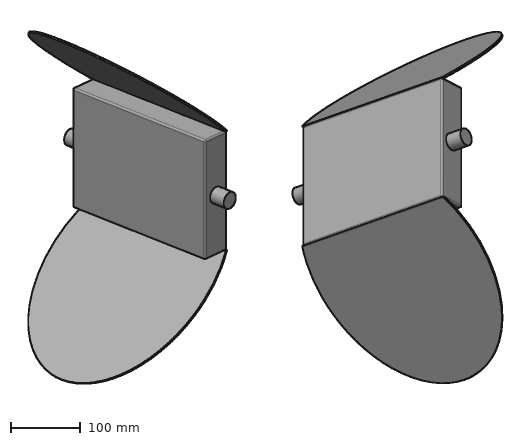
import cadquery as cq
import math

HOUSING_WIDTH = 258.0
HOUSING_DEPTH = 46.5
HOUSING_HEIGHT = 190.0
EDGE_RADIUS = 2.95

PIN_SPAN = 311.0
PIN_DIAMETER = 26.0
PIN_AXIS_DEPTH = 22.5

FLAP_TILT = 40.0
FLAP_THICKNESS = 3.0
FLAP_LENGTH = 272.0
FLAP_HALF_WIDTH = 145.0
HINGE_HALF_WIDTH = 130.0
HINGE_INSET = 0.7

hinge_fraction = math.sqrt(1 - (HINGE_HALF_WIDTH / FLAP_HALF_WIDTH) ** 2)
flap_semi_length = FLAP_LENGTH / (1 + hinge_fraction)
ellipse_centre = FLAP_LENGTH - flap_semi_length


def make_block():
    """Sharp-edged envelope of the housing."""
    return cq.Workplane("XY").box(HOUSING_WIDTH, HOUSING_DEPTH, HOUSING_HEIGHT).translate(
        (0, -HOUSING_DEPTH / 2, 0)
    )


def make_housing():
    """Rounded block with a pivot pin standing out of each end."""
    pins = (
        cq.Workplane("YZ")
        .center(-PIN_AXIS_DEPTH, 0)
        .circle(PIN_DIAMETER / 2)
        .extrude(PIN_SPAN / 2, both=True)
    )
    return make_block().edges().fillet(EDGE_RADIUS).union(pins)


def make_upper_flap():
    """Plate rising forwards from the top back edge of the housing."""
    tilt = math.radians(FLAP_TILT)
    outer_face = cq.Plane(
        origin=(0, -HINGE_INSET, HOUSING_HEIGHT / 2),
        xDir=(-1, 0, 0),
        normal=(0, math.sin(tilt), math.cos(tilt)),
    )
    ellipse = (
        cq.Workplane(outer_face)
        .center(0, ellipse_centre)
        .ellipse(FLAP_HALF_WIDTH, flap_semi_length)
        .extrude(-FLAP_THICKNESS)
    )
    beyond_hinge = (
        cq.Workplane(outer_face)
        .center(0, FLAP_LENGTH / 2)
        .rect(2 * FLAP_HALF_WIDTH, FLAP_LENGTH)
        .extrude(-FLAP_THICKNESS)
    )
    top_trim = cq.Workplane("XY").box(
        2 * FLAP_HALF_WIDTH, 2 * HOUSING_DEPTH, HOUSING_HEIGHT
    )
    return ellipse.intersect(beyond_hinge).cut(top_trim)


housing = make_housing()
upper_flap = make_upper_flap()
lower_flap = upper_flap.mirror("XY")

result = cq.Compound.makeCompound([housing.val(), upper_flap.val(), lower_flap.val()])